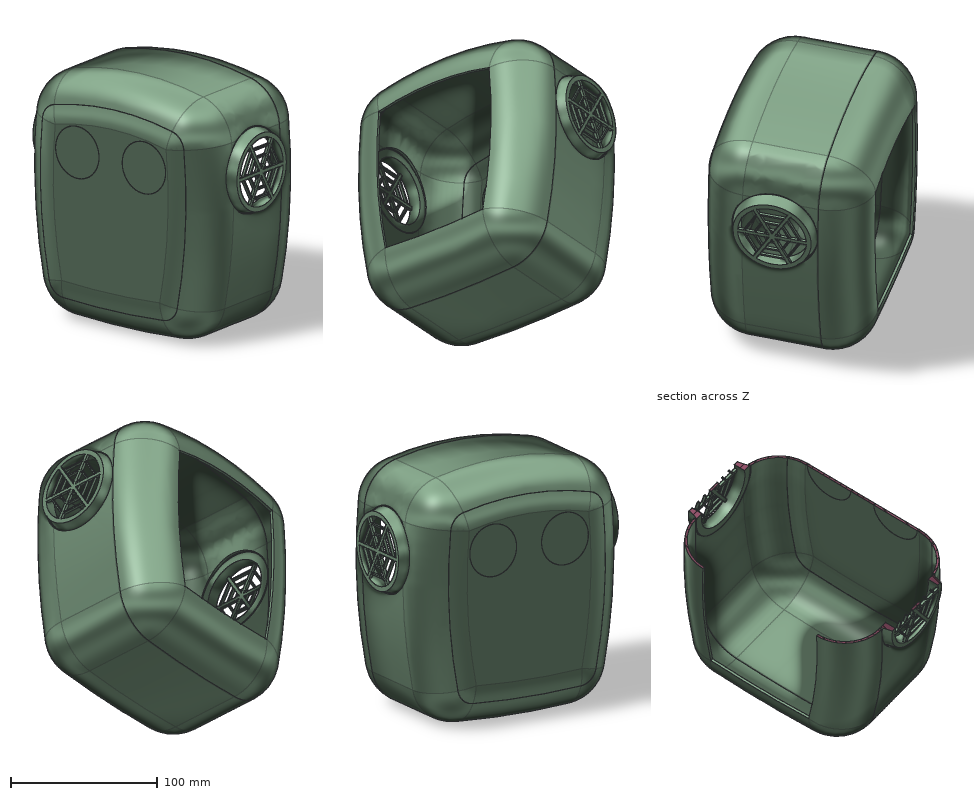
import cadquery as cq
import math

depth = 117.3
half_height = 91.0
half_width = 81.3
widest_z = 16.4
top_corner = (76.7, 78.0)
bottom_corner = (68.0, -87.3)
edge_radius = 32.0
wall = 2.0

front_y = -depth / 2
back_y = depth / 2
seam_y = 27.3

plate_inset = 19.0
eye_radius = 18.5
fit_gap = 0.11
eye_x = 28.5
eye_z = 36.7

ear_tip_x = 87.5
ear_length = 8.7
ear_y = -3.5
ear_z = 31.1
ear_tip_radius = 27.8
ear_base_radius = 30.2
ear_bore_radius = 24.4
ear_clearance = 0.4
grille_depth = 2.0
spoke_width = 2.5
web_bar_width = 1.1
web_apothems = (5.0, 11.3, 17.6)
web_sides = 6


def outline(inset):
    """Bulging outline facing -Y, moved inward by inset and placed at Y = 0, with sharp corners."""
    top_x, top_z = top_corner
    bottom_x, bottom_z = bottom_corner
    wires = (
        cq.Workplane("XZ")
        .moveTo(-top_x, top_z)
        .threePointArc((0, half_height), (top_x, top_z))
        .threePointArc((half_width, widest_z), (bottom_x, bottom_z))
        .threePointArc((0, -half_height), (-bottom_x, bottom_z))
        .threePointArc((-half_width, widest_z), (-top_x, top_z))
        .close()
    )
    return wires.offset2D(-inset, "intersection") if inset else wires


def prism(inset, start_y, end_y):
    """Straight block with the inset outline, from start_y to end_y."""
    return outline(inset).extrude(start_y - end_y).translate((0, start_y, 0))


def rounded_block(inset):
    """Head shape with all faces moved inward by inset and every edge rounded."""
    block = prism(inset, front_y + inset, back_y - inset)
    return block.edges().fillet(edge_radius - inset)


def plate_prism(gap=0):
    """Block that outlines the face plate, widened by gap, and covers the front half of the head."""
    inset = plate_inset - gap
    return prism(inset, front_y, 0).edges("|Y").fillet(edge_radius - inset)


def eye_cylinders(gap=0):
    """Both eyes, widened by gap, as plain cylinders as thick as the flat front wall."""
    return (
        cq.Workplane("XZ", origin=(0, front_y, 0))
        .pushPoints([(-eye_x, eye_z), (eye_x, eye_z)])
        .circle(eye_radius + gap)
        .extrude(-wall)
    )


def cross_slab(start_y, end_y):
    """Box wider than the head between two Y positions."""
    size = 4 * half_height
    middle_y = (start_y + end_y) / 2
    return cq.Workplane("XY").box(size, end_y - start_y, size).translate((0, middle_y, 0))


def ear_hole():
    """Straight hole along X through both side walls, slightly wider than the ears."""
    radius = ear_base_radius + ear_clearance
    return cq.Workplane("YZ", origin=(0, ear_y, ear_z)).circle(radius).extrude(ear_tip_x, both=True)


def make_front_shell(shell):
    """Front and middle of the hollow head, open for the face plate and the ears."""
    return shell.intersect(cross_slab(front_y, seam_y)).cut(plate_prism(fit_gap)).cut(ear_hole())


def make_rear_shell(shell):
    """Rounded rear of the hollow head, with its flat back wall left open."""
    opening = prism(edge_radius, seam_y, back_y)
    return shell.intersect(cross_slab(seam_y, back_y)).cut(opening)


def make_face_plate(shell):
    """Slightly domed front panel with two eye holes."""
    return shell.intersect(plate_prism()).cut(eye_cylinders(fit_gap))


def hexagon(apothem):
    """Hexagonal block with its corners on the spokes."""
    corner_diameter = 2 * apothem / math.cos(math.pi / web_sides)
    return cq.Workplane("YZ").polygon(web_sides, corner_diameter).extrude(grille_depth)


def make_grille():
    """Web of spokes and hexagons at the tip of the ear, extending along +X from X = 0."""
    grille = None
    for index in range(web_sides // 2):
        spoke = cq.Workplane("YZ").rect(2 * ear_bore_radius, spoke_width).extrude(grille_depth)
        spoke = spoke.rotate((0, 0, 0), (1, 0, 0), index * 360 / web_sides)
        grille = spoke if grille is None else grille.union(spoke)
    for apothem in web_apothems:
        ring = hexagon(apothem + web_bar_width / 2).cut(hexagon(apothem - web_bar_width / 2))
        grille = grille.union(ring)
    return grille


def make_ear():
    """Left ear: a conical ring with a grille across its outer end."""
    ring = (
        cq.Workplane("YZ")
        .circle(ear_tip_radius)
        .workplane(offset=ear_length)
        .circle(ear_base_radius)
        .loft()
        .cut(cq.Workplane("YZ").circle(ear_bore_radius).extrude(ear_length))
    )
    return ring.union(make_grille()).translate((-ear_tip_x, ear_y, ear_z))


head_shell = rounded_block(0).cut(rounded_block(wall))
front_shell = make_front_shell(head_shell)
rear_shell = make_rear_shell(head_shell)
face_plate = make_face_plate(head_shell)
eyes = eye_cylinders()
left_ear = make_ear()
ears = [left_ear, left_ear.mirror("YZ")]

result = cq.Compound.makeCompound(
    [
        front_shell.val(),
        rear_shell.val(),
        face_plate.val(),
        *eyes.vals(),
        *[ear.val() for ear in ears],
    ]
)